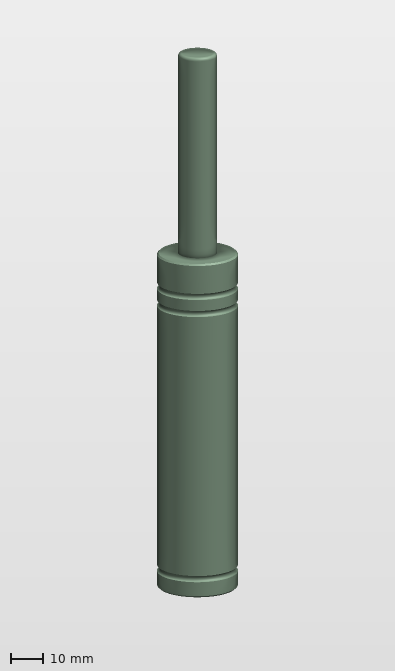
import cadquery as cq

total_height = 172.0
body_diameter = 25.0
body_height = 107.5
body_chamfer = 0.5
rod_diameter = 12.0
rod_edge_radius = 1.0

groove_radius = 1.0
lower_groove_height = 6.0
neck_groove_depth = 10.5
neck_groove_spacing = 5.5

body_radius = body_diameter / 2
upper_neck_groove_height = body_height - neck_groove_depth
groove_heights = [
    lower_groove_height,
    upper_neck_groove_height - neck_groove_spacing,
    upper_neck_groove_height,
]


def make_body():
    """Cylinder with both end edges chamfered."""
    body = cq.Workplane("XY").circle(body_radius).extrude(body_height)
    return body.faces("<Z or >Z").edges().chamfer(body_chamfer)


def make_rod():
    """Piston rod rising from the body top, with a rounded tip edge."""
    rod = cq.Workplane("XY", origin=(0, 0, body_height)).circle(rod_diameter / 2)
    rod = rod.extrude(total_height - body_height)
    return rod.faces(">Z").edges().fillet(rod_edge_radius)


def make_groove_cutter(height):
    """Ring of round section, centred on the body surface at the given height."""
    return cq.Workplane(cq.Solid.makeTorus(body_radius, groove_radius, cq.Vector(0, 0, height)))


result = make_body().union(make_rod())
for groove_height in groove_heights:
    result = result.cut(make_groove_cutter(groove_height))